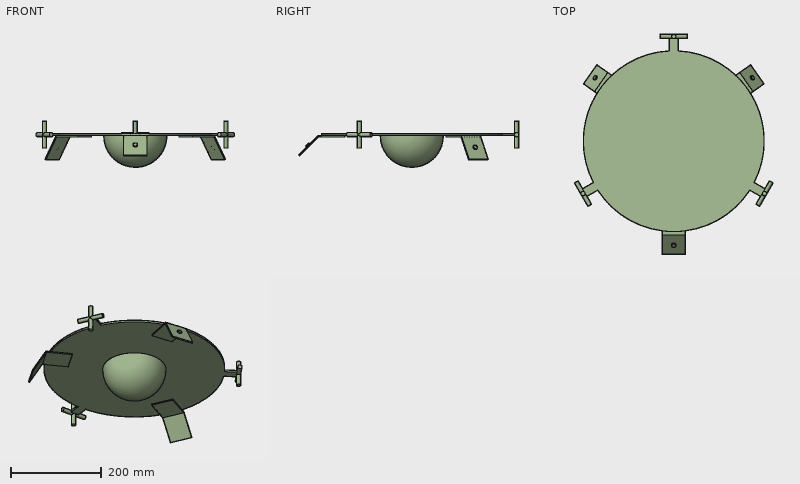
import cadquery as cq
import math

DISK_RADIUS = 200.0
DISK_THICKNESS = 5.0
DISK_BOTTOM = -DISK_THICKNESS / 2
DOME_RADIUS = 70.0

ROD_DIAMETER = 9.7
ROD_LENGTH = 60.0
CROSS_RADIUS = 232.0
ARM_WIDTH = 20.0
CROSS_ANGLES = (90, 210, 330)

BRACKET_WIDTH = 51.5
BRACKET_THICKNESS = 3.0
FLANGE_LENGTH = 60.0
LEG_LENGTH = 60.0
FRONT_BEND_RADIUS = 208.0
SIDE_BEND_RADIUS = 206.5
PEG_DIAMETER = 10.0
PEG_HEIGHT = 3.0
FRONT_BEND_ANGLE = 45
SIDE_BEND_ANGLE = 60
SIDE_HEADING = 35
SIDE_SHIFT = 15.0


def make_disk_and_dome():
    disk = cq.Workplane("XY").workplane(offset=DISK_BOTTOM).circle(DISK_RADIUS).extrude(DISK_THICKNESS)
    dome = (
        cq.Workplane("XZ")
        .moveTo(0, 0)
        .lineTo(DOME_RADIUS, 0)
        .radiusArc((0, -DOME_RADIUS), DOME_RADIUS)
        .close()
        .revolve(360, (0, 0, 0), (0, 1, 0))
        .translate((0, 0, DISK_BOTTOM))
    )
    return disk.union(dome)


def make_cross(angle):
    """Arm along +X with an upright and a tangential rod at its end, turned to angle."""
    cross = cq.Workplane("XY").box(CROSS_RADIUS, ARM_WIDTH, DISK_THICKNESS, centered=(False, True, True))
    for plane in ("XY", "XZ"):
        rod = cq.Workplane(plane).circle(ROD_DIAMETER / 2).extrude(ROD_LENGTH / 2, both=True)
        cross = cross.union(rod.translate((CROSS_RADIUS, 0, 0)))
    return cross.rotate((0, 0, 0), (0, 0, 1), angle)


def make_bracket(heading, bend_radius, bend_angle, shift):
    """Bracket pointing along +X, shifted along Y and then turned to heading."""
    bend = math.radians(bend_angle)
    along = (math.cos(bend), -math.sin(bend))
    outward = (math.sin(bend), math.cos(bend))
    inner_end = bend_radius - FLANGE_LENGTH
    tip = (bend_radius + LEG_LENGTH * along[0], DISK_BOTTOM + LEG_LENGTH * along[1])
    lower_tip = (tip[0] - BRACKET_THICKNESS * outward[0], tip[1] - BRACKET_THICKNESS * outward[1])
    flange_underside = DISK_BOTTOM - BRACKET_THICKNESS
    inner_bend = bend_radius - BRACKET_THICKNESS * math.tan(bend / 2)
    sheet = (
        cq.Workplane("XZ")
        .polyline([
            (inner_end, DISK_BOTTOM),
            (bend_radius, DISK_BOTTOM),
            tip,
            lower_tip,
            (inner_bend, flange_underside),
            (inner_end, flange_underside),
        ])
        .close()
        .extrude(BRACKET_WIDTH / 2, both=True)
    )
    peg_base = (
        (bend_radius + tip[0]) / 2 - BRACKET_THICKNESS * outward[0],
        0,
        (DISK_BOTTOM + tip[1]) / 2 - BRACKET_THICKNESS * outward[1],
    )
    leg_plane = cq.Plane(origin=peg_base, xDir=(0, 1, 0), normal=(outward[0], 0, outward[1]))
    peg = cq.Workplane(leg_plane).circle(PEG_DIAMETER / 2).extrude(BRACKET_THICKNESS + PEG_HEIGHT)
    return sheet.union(peg).translate((0, shift, 0)).rotate((0, 0, 0), (0, 0, 1), heading)


result = make_disk_and_dome()
for cross_angle in CROSS_ANGLES:
    result = result.union(make_cross(cross_angle))
result = result.union(make_bracket(-90, FRONT_BEND_RADIUS, FRONT_BEND_ANGLE, 0))
result = result.union(make_bracket(SIDE_HEADING, SIDE_BEND_RADIUS, SIDE_BEND_ANGLE, SIDE_SHIFT))
result = result.union(make_bracket(180 - SIDE_HEADING, SIDE_BEND_RADIUS, SIDE_BEND_ANGLE, -SIDE_SHIFT))